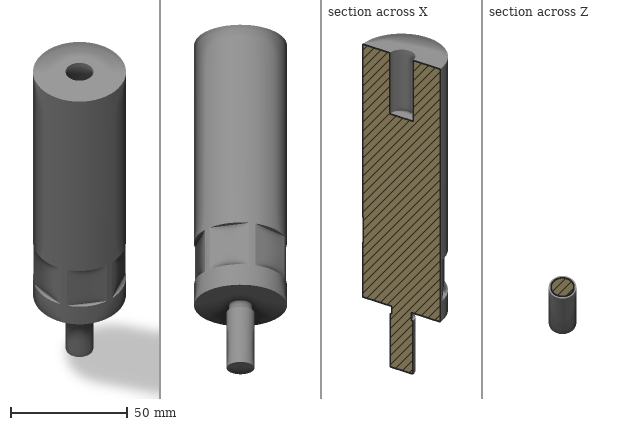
import cadquery as cq

total_height = 155.0
body_diameter = 40.0

stud_diameter = 12.0
stud_length = 30.0
neck_diameter = 10.0
neck_length = 3.5

flat_count = 6
across_flats = 36.0
collar_height = 9.9
flat_height = 20.0

hole_diameter = stud_diameter
hole_depth = stud_length


def cylinder(diameter, bottom, height):
    """Vertical cylinder on the part axis."""
    return cq.Workplane("XY").workplane(offset=bottom).circle(diameter / 2).extrude(height)


def wrench_flat(angle):
    """Block that cuts one flat whose outward normal is at the given angle from +X."""
    flat_depth = (body_diameter - across_flats) / 2
    block = cq.Workplane("XY").box(
        flat_depth, body_diameter, flat_height, centered=(False, True, False)
    )
    block = block.translate((across_flats / 2, 0, stud_length + collar_height))
    return block.rotate((0, 0, 0), (0, 0, 1), angle)


stud = cylinder(stud_diameter, 0, stud_length - neck_length)
neck = cylinder(neck_diameter, stud_length - neck_length, neck_length)
body = cylinder(body_diameter, stud_length, total_height - stud_length)
result = body.union(neck).union(stud)

for index in range(flat_count):
    result = result.cut(wrench_flat(index * 360 / flat_count))

result = result.cut(cylinder(hole_diameter, total_height - hole_depth, hole_depth))